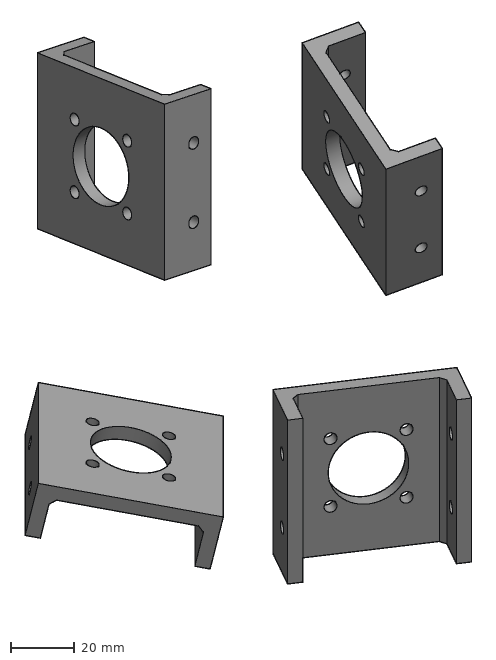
import cadquery as cq

width = 60.0
depth = 20.0
height = 60.0
wall = 5.0
corner_chamfer = 2.0

bore_diameter = 26.2
screw_hole_diameter = 4.2
screw_spacing = 24.8

flange_hole_spacing = 27.0
flange_hole_from_rear = 7.5


def make_channel():
    """Channel open toward +Y, with chamfered inner corners."""
    body = cq.Workplane("XY").box(width, depth, height)
    pocket = (
        cq.Workplane("XY")
        .box(width - 2 * wall, depth, height)
        .edges("|Z and <Y")
        .chamfer(corner_chamfer)
        .translate((0, wall, 0))
    )
    return body.cut(pocket)


def make_plate_holes():
    """Central bore and four screw holes, running along Y."""
    bore = cq.Workplane("XZ").circle(bore_diameter / 2).extrude(depth, both=True)
    screws = (
        cq.Workplane("XZ")
        .rect(screw_spacing, screw_spacing, forConstruction=True)
        .vertices()
        .circle(screw_hole_diameter / 2)
        .extrude(depth, both=True)
    )
    return bore.union(screws)


def make_flange_holes():
    """Two holes one above the other, running along X."""
    hole_y = depth / 2 - flange_hole_from_rear
    hole_z = flange_hole_spacing / 2
    return (
        cq.Workplane("YZ")
        .pushPoints([(hole_y, -hole_z), (hole_y, hole_z)])
        .circle(screw_hole_diameter / 2)
        .extrude(width, both=True)
    )


result = make_channel().cut(make_plate_holes()).cut(make_flange_holes())